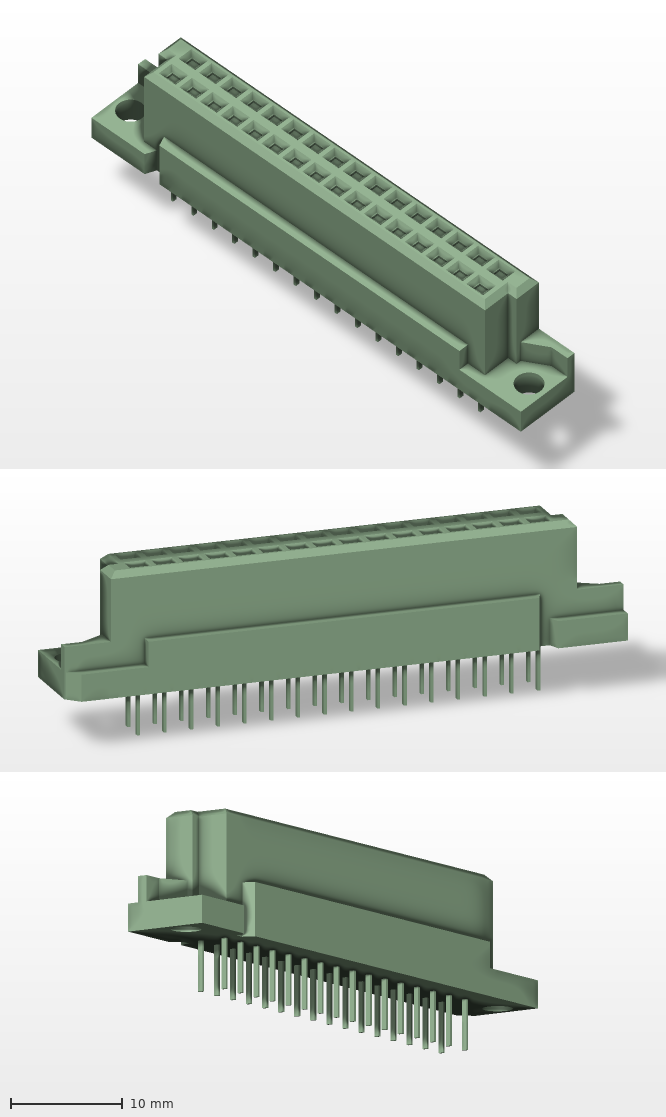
import cadquery as cq


LENGTH = 53.2
WIDTH = 8.05
FLANGE_HEIGHT = 2.55
WALL_HEIGHT = 4.95
WALL_END = 19.0
CORNER_CUT = 1.2

TOWER_WIDTH = 5.85
TOWER_HEIGHT = 11.45
BACK_HALF_LENGTH = 22.2
FRONT_HALF_LENGTH = 21.15
KEY_STEP_Y = 0.05
TOP_CHAMFER = 0.6

MOUNT_X = 24.7
MOUNT_Y = -0.95
MOUNT_DIAMETER = 2.75

SHOULDER_FRONT_Y = 2.0
SHOULDER_TOWER_Y = 0.6
SHOULDER_BEND_X = 24.65

NOTCH_X = -19.1
NOTCH_INNER_WIDTH = 0.9
NOTCH_OUTER_WIDTH = 1.8

COLUMNS = 16
ROWS = 2
CONTACT_SPAN = 38.1
PITCH = CONTACT_SPAN / (COLUMNS - 1)
PIN_THICKNESS = 0.25
PIN_WIDTH = 0.5
PIN_LENGTH = 4.65

MOUTH_LENGTH = 2.1
MOUTH_WIDTH = 1.65
THROAT_LENGTH = 1.3
THROAT_WIDTH = 0.9
FUNNEL_DEPTH = 0.505
WELL_DEPTH = 0.25
WELL_LENGTH = 1.05
WELL_WIDTH = 0.8

HALF_LENGTH = LENGTH / 2
HALF_WIDTH = WIDTH / 2
TOWER_HALF_WIDTH = TOWER_WIDTH / 2


def base():
    """Low flange plate with a cut corner and a raised wall along each long side."""
    plate = cq.Workplane("XY").box(LENGTH, WIDTH, FLANGE_HEIGHT, centered=(True, True, False))
    plate = plate.edges("|Z and >X and >Y").chamfer(CORNER_CUT)
    wall_length = WALL_END - NOTCH_X
    walls = (
        cq.Workplane("XY")
        .center(NOTCH_X + wall_length / 2, 0)
        .rect(wall_length, WIDTH)
        .extrude(WALL_HEIGHT)
    )
    return plate.union(walls)


def tower():
    """Keyed tower with its top edge chamfered all round."""
    outline = [
        (-BACK_HALF_LENGTH, TOWER_HALF_WIDTH),
        (BACK_HALF_LENGTH, TOWER_HALF_WIDTH),
        (BACK_HALF_LENGTH, KEY_STEP_Y),
        (FRONT_HALF_LENGTH, KEY_STEP_Y),
        (FRONT_HALF_LENGTH, -TOWER_HALF_WIDTH),
        (-FRONT_HALF_LENGTH, -TOWER_HALF_WIDTH),
        (-FRONT_HALF_LENGTH, KEY_STEP_Y),
        (-BACK_HALF_LENGTH, KEY_STEP_Y),
    ]
    body = cq.Workplane("XY").polyline(outline).close().extrude(TOWER_HEIGHT)
    return body.faces(">Z").chamfer(TOP_CHAMFER)


def shoulder(side):
    """Raised shoulder from the tower end to the flange end; side is -1 or 1 along X."""
    outline = [
        (side * BACK_HALF_LENGTH, TOWER_HALF_WIDTH),
        (side * HALF_LENGTH, TOWER_HALF_WIDTH),
        (side * HALF_LENGTH, SHOULDER_FRONT_Y),
        (side * SHOULDER_BEND_X, SHOULDER_FRONT_Y),
        (side * BACK_HALF_LENGTH, SHOULDER_TOWER_Y),
    ]
    return cq.Workplane("XY").polyline(outline).close().extrude(WALL_HEIGHT)


def notch(side):
    """Cutter for a notch reaching the tower face; side is -1 or 1 along Y."""
    outline = [
        (NOTCH_X - NOTCH_INNER_WIDTH / 2, side * TOWER_HALF_WIDTH),
        (NOTCH_X + NOTCH_INNER_WIDTH / 2, side * TOWER_HALF_WIDTH),
        (NOTCH_X + NOTCH_OUTER_WIDTH / 2, side * HALF_WIDTH),
        (NOTCH_X - NOTCH_OUTER_WIDTH / 2, side * HALF_WIDTH),
    ]
    return cq.Workplane("XY").polyline(outline).close().extrude(WALL_HEIGHT)


def contact_grid(z):
    """Workplane at height z with a point at every contact position."""
    return cq.Workplane("XY", origin=(0, 0, z)).rarray(PITCH, PITCH, COLUMNS, ROWS)


def socket_cutter():
    """Funnel and well of one socket, with its mouth on Z = 0."""
    funnel = (
        cq.Workplane("XY")
        .rect(MOUTH_LENGTH, MOUTH_WIDTH)
        .workplane(offset=-FUNNEL_DEPTH)
        .rect(THROAT_LENGTH, THROAT_WIDTH)
        .loft(ruled=True)
    )
    well = (
        cq.Workplane("XY", origin=(0, 0, -FUNNEL_DEPTH))
        .rect(WELL_LENGTH, WELL_WIDTH)
        .extrude(-WELL_DEPTH)
    )
    return funnel.union(well)


def sockets():
    """Cutter for every socket in the top of the tower."""
    cutter = socket_cutter().val()
    return contact_grid(TOWER_HEIGHT).eachpoint(lambda place: cutter.moved(place))


def pins():
    """Straight pin tails below the base."""
    return contact_grid(0).rect(PIN_THICKNESS, PIN_WIDTH).extrude(-PIN_LENGTH)


def mounting_holes():
    """Cutters for the hole through each flange end."""
    return (
        cq.Workplane("XY")
        .pushPoints([(-MOUNT_X, MOUNT_Y), (MOUNT_X, MOUNT_Y)])
        .circle(MOUNT_DIAMETER / 2)
        .extrude(FLANGE_HEIGHT)
    )


body = base().union(tower())
for end in (-1, 1):
    body = body.union(shoulder(end))
    body = body.cut(notch(end))
body = body.cut(mounting_holes()).cut(sockets())
result = body.union(pins())